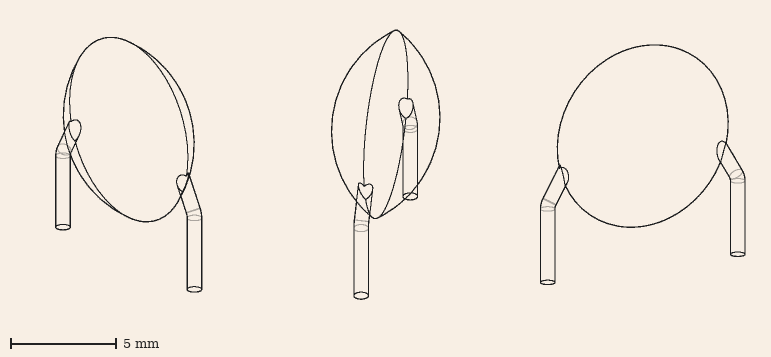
import cadquery as cq
import math

body_diameter = 9.0
body_thickness = 5.0
overall_height = 11.09
body_radius = body_diameter / 2
body_center_z = overall_height - body_radius

lead_diameter = 0.7
lead_spacing = 10.0
straight_length = 3.66
bend_radius = 0.7
bend_angle = math.radians(30)
slanted_length = 2.77


def make_body():
    """Overlap two equal spheres to leave a lens with a sharp rim."""
    half_thickness = body_thickness / 2
    sphere_radius = (body_radius**2 + half_thickness**2) / body_thickness
    sphere_offset = sphere_radius - half_thickness
    sphere = cq.Workplane("XY").sphere(sphere_radius)
    front_sphere = sphere.translate((0, -sphere_offset, body_center_z))
    back_sphere = sphere.translate((0, sphere_offset, body_center_z))
    return front_sphere.intersect(back_sphere)


def make_right_lead():
    """Sweep the round wire up, around the bend and into the body."""
    lead_x = lead_spacing / 2

    def bend_point(angle):
        return (
            lead_x - bend_radius * (1 - math.cos(angle)),
            straight_length + bend_radius * math.sin(angle),
        )

    bend_end = bend_point(bend_angle)
    inner_end = (
        bend_end[0] - slanted_length * math.sin(bend_angle),
        bend_end[1] + slanted_length * math.cos(bend_angle),
    )
    path = (
        cq.Workplane("XZ")
        .moveTo(lead_x, 0)
        .lineTo(lead_x, straight_length)
        .threePointArc(bend_point(bend_angle / 2), bend_end)
        .lineTo(*inner_end)
    )
    return cq.Workplane("XY").center(lead_x, 0).circle(lead_diameter / 2).sweep(path)


right_lead = make_right_lead()
left_lead = right_lead.mirror("YZ")
result = make_body().union(right_lead).union(left_lead)